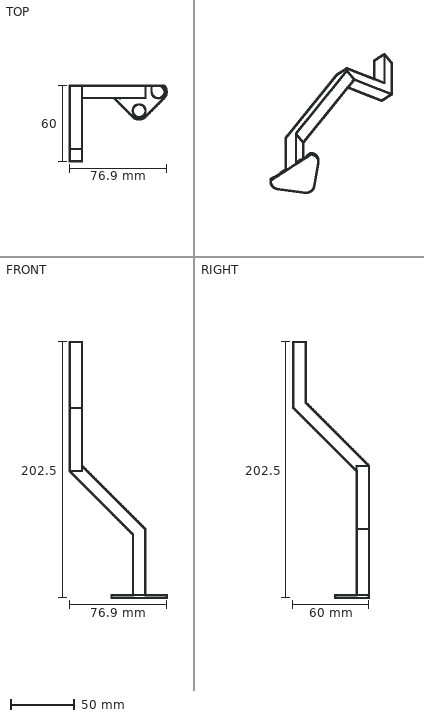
import cadquery as cq
import math

bar = 10.0
side_step = 50.0
total_height = 202.5
half_bar = bar / 2
miter = half_bar * math.tan(math.radians(22.5))

top_bend = total_height - side_step
middle_bend = top_bend - side_step
lower_bend = middle_bend - side_step
joint_bottom = middle_bend - miter
joint_top = middle_bend + miter

plate_thickness = 2.5
corner_radius = 6.9
recess_spacing = 15.0
recess_diameter = 10.1
recess_depth = 1.2
corner_offset = corner_radius * math.sin(math.radians(45))


def make_lower_bar():
    """Post on the foot and the slope toward -X, up to the top of the middle joint."""
    outline = [
        (-half_bar, 0),
        (half_bar, 0),
        (half_bar, lower_bend + miter),
        (half_bar - side_step, joint_top),
        (-half_bar - side_step, joint_top),
        (-half_bar - side_step, joint_bottom),
        (-half_bar, lower_bend - miter),
    ]
    return cq.Workplane("XZ").polyline(outline).close().extrude(half_bar, both=True)


def make_upper_bar():
    """Slope toward -Y and the top post, from the bottom of the middle joint."""
    outline = [
        (-half_bar, joint_bottom),
        (half_bar, joint_bottom),
        (half_bar, joint_top),
        (half_bar - side_step, top_bend + miter),
        (half_bar - side_step, total_height),
        (-half_bar - side_step, total_height),
        (-half_bar - side_step, top_bend - miter),
    ]
    profile = cq.Workplane("YZ", origin=(-side_step, 0, 0)).polyline(outline).close()
    return profile.extrude(half_bar, both=True)


def make_foot():
    """Triangular plate centred on the post, its side recesses open through the back edge."""
    plate = (
        cq.Workplane("XY")
        .moveTo(-recess_spacing - corner_offset, corner_offset)
        .lineTo(recess_spacing + corner_offset, corner_offset)
        .threePointArc(
            (recess_spacing + corner_radius, 0),
            (recess_spacing + corner_offset, -corner_offset),
        )
        .lineTo(corner_offset, -recess_spacing - corner_offset)
        .threePointArc(
            (0, -recess_spacing - corner_radius),
            (-corner_offset, -recess_spacing - corner_offset),
        )
        .lineTo(-recess_spacing - corner_offset, -corner_offset)
        .threePointArc(
            (-recess_spacing - corner_radius, 0),
            (-recess_spacing - corner_offset, corner_offset),
        )
        .close()
        .extrude(plate_thickness)
    )
    recess_radius = recess_diameter / 2
    recess_centres = [(-recess_spacing, 0), (recess_spacing, 0), (0, -recess_spacing)]
    recess_floor = cq.Workplane("XY", origin=(0, 0, plate_thickness - recess_depth))
    recesses = recess_floor.pushPoints(recess_centres).circle(recess_radius).extrude(recess_depth)
    for side in (-1, 1):
        opening = (
            recess_floor.center(side * (recess_spacing - recess_radius / 2), recess_radius / 2)
            .rect(recess_radius, recess_radius)
            .extrude(recess_depth)
        )
        recesses = recesses.union(opening)
    return plate.cut(recesses)


result = make_foot().union(make_lower_bar()).union(make_upper_bar())